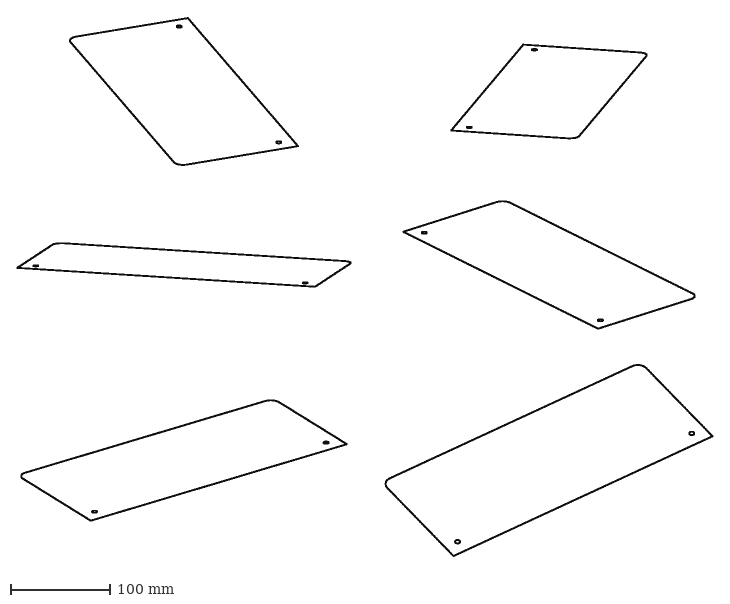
import cadquery as cq

length = 314.0
width = 130.0
thickness = 0.3

corner_radius = 10.0
hole_diameter = 5.0
hole_inset = 15.0

hole_x = length / 2 - hole_inset
hole_y = width / 2 - hole_inset

sheet = cq.Workplane("XY").box(length, width, thickness)
sheet = sheet.edges("|Z and <Y").fillet(corner_radius)

result = (
    sheet.faces(">Z")
    .workplane(origin=(0, 0, 0))
    .pushPoints([(-hole_x, hole_y), (hole_x, hole_y)])
    .hole(hole_diameter)
)